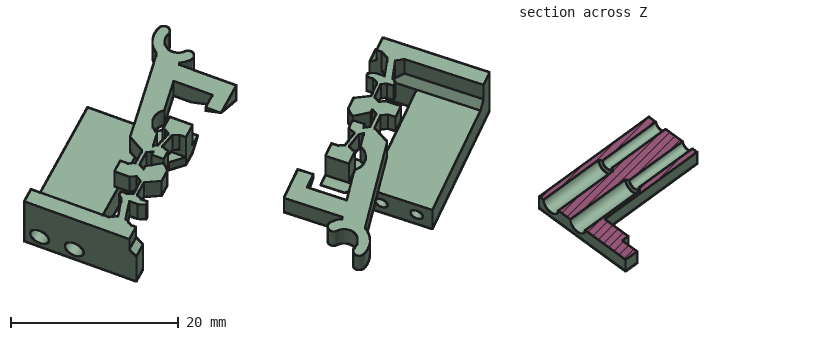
import cadquery as cq
import math

total_length = 30.55
total_height = 8.0
arm_thickness = 3.0
arm_bottom = total_height - arm_thickness

plate_width = 8.2
plate_length = 18.52
plate_top = 4.0
wall_width = 14.65
wall_thickness = 2.0
gusset_end = 12.13
notch_left = 13.72

hole_positions = [2.02, 6.55]
hole_height = 2.0
hole_front_radius = 1.22
hole_back_radius = 0.8
hole_wide_depth = plate_length / 2
hole_cone_angle = 118.0

anvil_left = 10.7
anvil_right = 13.72
anvil_front = 16.53
shelf_margin = 1.53
shelf_rim = 0.05
shelf_bottom = plate_top - shelf_margin - shelf_rim
shelf_front = anvil_front - shelf_margin
shelf_back = plate_length + shelf_margin
shelf_corner_x = 8.43
shelf_corner_y = 18.15

root_left, root_right = 11.1, 12.07
root_top = 2.6
lower_blade_left, lower_blade_right = 11.43, 11.9
lower_blade_start, lower_blade_end = 6.4, 8.4
upper_blade_left, upper_blade_right = 9.78, 10.33
upper_blade_start, upper_blade_end = 10.6, 12.6
tie_start, tie_end = 14.12, 16.17

arm_lean = 0.171
arm_foot_left, arm_foot_left_y = 7.65, 13.85
arm_foot_right, arm_foot_right_y = 10.67, 13.75
arm_head_y = 26.75
notch_x, notch_y = 11.03, 17.6
notch_radius = 2.0

hook_back = 26.0
hook_beam_front = 23.53
hook_tip_front = 21.5
hook_tip_left = 14.05
hook_right = 16.07
hook_slope_heading = -62.3
hook_slope_angle = 37.0

clip_x = 7.12
clip_inner_radius = 1.62
clip_wall = 1.47
clip_left_angle = 161.3
clip_right_angle = -36.6
clip_middle_radius = clip_inner_radius + clip_wall / 2
clip_outer_radius = clip_inner_radius + clip_wall
clip_y = total_length - clip_wall / 2 - clip_middle_radius * math.sin(math.radians(clip_left_angle))


def prism(points, bottom, top):
    """Extrude a closed XY outline between two heights."""
    return cq.Workplane("XY").workplane(offset=bottom).polyline(points).close().extrude(top - bottom)


def link(points):
    """Extrude an outline over the thickness of the moving parts."""
    return prism(points, arm_bottom, total_height)


def arm_edge_x(foot_x, foot_y, y):
    """X of a slanted arm edge at the given Y."""
    return foot_x - arm_lean * (y - foot_y)


def make_hole(x):
    """Revolved cutter: wide bore, cone and narrow bore, running along +Y."""
    cone_depth = (hole_front_radius - hole_back_radius) / math.tan(math.radians(hole_cone_angle / 2))
    return (
        cq.Workplane("XY", origin=(x, 0, hole_height))
        .polyline([
            (0, 0),
            (hole_front_radius, 0),
            (hole_front_radius, hole_wide_depth),
            (hole_back_radius, hole_wide_depth + cone_depth),
            (hole_back_radius, plate_length),
            (0, plate_length),
        ])
        .close()
        .revolve(360, (0, 0, 0), (0, 1, 0))
    )


def make_base():
    plate = cq.Workplane("XY").box(plate_width, plate_length, plate_top, centered=False)
    notch_slope = wall_width - notch_left
    wall = (
        cq.Workplane("XZ")
        .polyline([
            (0, 0),
            (wall_width, 0),
            (wall_width, arm_bottom),
            (notch_left, arm_bottom + notch_slope),
            (notch_left, total_height),
            (0, total_height),
        ])
        .close()
        .extrude(-wall_thickness)
    )
    gusset_depth = arm_bottom - plate_top
    gusset = (
        cq.Workplane("YZ")
        .polyline([
            (wall_thickness, 0),
            (wall_thickness + gusset_depth, 0),
            (wall_thickness + gusset_depth, plate_top),
            (wall_thickness, arm_bottom),
        ])
        .close()
        .extrude(gusset_end)
    )
    base = plate.union(wall).union(gusset)
    for x in hole_positions:
        base = base.cut(make_hole(x))
    return base


def make_shelf():
    shelf = prism(
        [
            (plate_width, shelf_front),
            (anvil_right - shelf_margin, shelf_front),
            (anvil_right, anvil_front),
            (anvil_right, shelf_back),
            (anvil_left, shelf_back),
            (shelf_corner_x, shelf_corner_y),
            (plate_width, shelf_corner_y),
        ],
        shelf_bottom,
        plate_top,
    )
    underside = (
        cq.Workplane("YZ")
        .polyline([
            (plate_length, shelf_bottom),
            (shelf_back, shelf_bottom),
            (shelf_back, plate_top - shelf_rim),
        ])
        .close()
        .extrude(wall_width)
    )
    return shelf.cut(underside)


def make_anvil():
    return prism(
        [
            (anvil_left, anvil_front),
            (anvil_right, anvil_front),
            (anvil_right, plate_length),
            (anvil_left, plate_length),
        ],
        plate_top,
        total_height,
    )


def make_root():
    """Flared foot of the first flexure, standing on the sloped strip."""
    return prism(
        [(10.15, wall_thickness), (13.08, wall_thickness), (root_right, root_top), (root_left, root_top)],
        plate_top,
        total_height,
    )


def make_lower_link():
    """First leaning flexure with its crossbar."""
    return link([
        (root_left, root_top),
        (root_right, root_top),
        (11.43, 5.13),
        (12.53, 5.13),
        (13.45, 5.47),
        (13.45, 6.0),
        (12.6, 6.0),
        (lower_blade_right, lower_blade_start),
        (lower_blade_left, lower_blade_start),
        (10.8, 6.05),
        (9.93, 6.05),
        (9.93, 5.47),
        (10.45, 5.07),
    ])


def make_middle_link():
    """Lower blade, the block above it and the upper blade."""
    return link([
        (lower_blade_left, lower_blade_start),
        (lower_blade_right, lower_blade_start),
        (lower_blade_right, lower_blade_end),
        (anvil_right, 9.45),
        (anvil_right, 11.15),
        (12.87, 11.95),
        (11.03, 10.65),
        (11.03, 10.18),
        (upper_blade_right, upper_blade_start),
        (upper_blade_right, upper_blade_end),
        (upper_blade_left, upper_blade_end),
        (upper_blade_left, upper_blade_start),
        (9.0, 10.18),
        (8.0, 10.18),
        (8.0, 8.43),
        (9.95, 8.43),
        (10.7, 8.85),
        (lower_blade_left, lower_blade_end),
    ])


def make_tie():
    """Leaning blade from the arm, flared where it meets the anvil."""
    return link([
        (11.15, tie_start),
        (11.7, tie_start),
        (12.13, tie_end),
        (12.87, anvil_front),
        (11.0, anvil_front),
        (11.6, tie_end),
    ])


def make_arm():
    arm = link([
        (upper_blade_left, upper_blade_end),
        (upper_blade_right, upper_blade_end),
        (11.03, 13.02),
        (11.03, 12.5),
        (12.62, 12.5),
        (12.62, 13.78),
        (11.7, tie_start),
        (11.15, tie_start),
        (arm_foot_right, arm_foot_right_y),
        (arm_edge_x(arm_foot_right, arm_foot_right_y, arm_head_y), arm_head_y),
        (arm_edge_x(arm_foot_left, arm_foot_left_y, arm_head_y), arm_head_y),
        (arm_foot_left, arm_foot_left_y),
    ])
    clearance = (
        cq.Workplane("XY")
        .workplane(offset=arm_bottom)
        .center(notch_x, notch_y)
        .circle(notch_radius)
        .extrude(arm_thickness)
    )
    return arm.cut(clearance)


def make_hook():
    beam_left_front = arm_edge_x(arm_foot_right, arm_foot_right_y, hook_beam_front)
    beam_left_back = arm_edge_x(arm_foot_right, arm_foot_right_y, hook_back)
    hook = link([
        (beam_left_front, hook_beam_front),
        (hook_tip_left, hook_beam_front),
        (hook_tip_left, hook_tip_front),
        (hook_right, hook_tip_front),
        (hook_right, hook_back),
        (beam_left_back, hook_back),
    ])
    heading = math.radians(hook_slope_heading)
    uphill = (math.cos(heading), math.sin(heading), 0)
    level = (math.sin(heading), -math.cos(heading), 0)
    reach = 2 * (hook_back - hook_tip_front)
    rise = reach * math.tan(math.radians(hook_slope_angle))
    slope_plane = cq.Plane(origin=(hook_right, hook_back, arm_bottom), xDir=uphill, normal=level)
    underside = (
        cq.Workplane(slope_plane)
        .polyline([(0, 0), (reach, 0), (reach, rise)])
        .close()
        .extrude(hook_right, both=True)
    )
    return hook.cut(underside)


def clip_point(radius, angle):
    """Point around the clip centre, with the angle in degrees."""
    turn = math.radians(angle)
    return (clip_x + radius * math.cos(turn), clip_y + radius * math.sin(turn))


def make_clip():
    left = clip_left_angle
    right = clip_right_angle + 360
    bottom = (left + right) / 2
    ring = (
        cq.Workplane("XY")
        .workplane(offset=arm_bottom)
        .moveTo(*clip_point(clip_inner_radius, left))
        .threePointArc(clip_point(clip_inner_radius, bottom), clip_point(clip_inner_radius, right))
        .lineTo(*clip_point(clip_outer_radius, right))
        .threePointArc(clip_point(clip_outer_radius, bottom), clip_point(clip_outer_radius, left))
        .close()
        .extrude(arm_thickness)
    )
    tips = (
        cq.Workplane("XY")
        .workplane(offset=arm_bottom)
        .pushPoints([clip_point(clip_middle_radius, left), clip_point(clip_middle_radius, right)])
        .circle(clip_wall / 2)
        .extrude(arm_thickness)
    )
    return ring.union(tips)


result = make_base()
for make_part in (
    make_shelf,
    make_anvil,
    make_root,
    make_lower_link,
    make_middle_link,
    make_arm,
    make_tie,
    make_hook,
    make_clip,
):
    result = result.union(make_part())